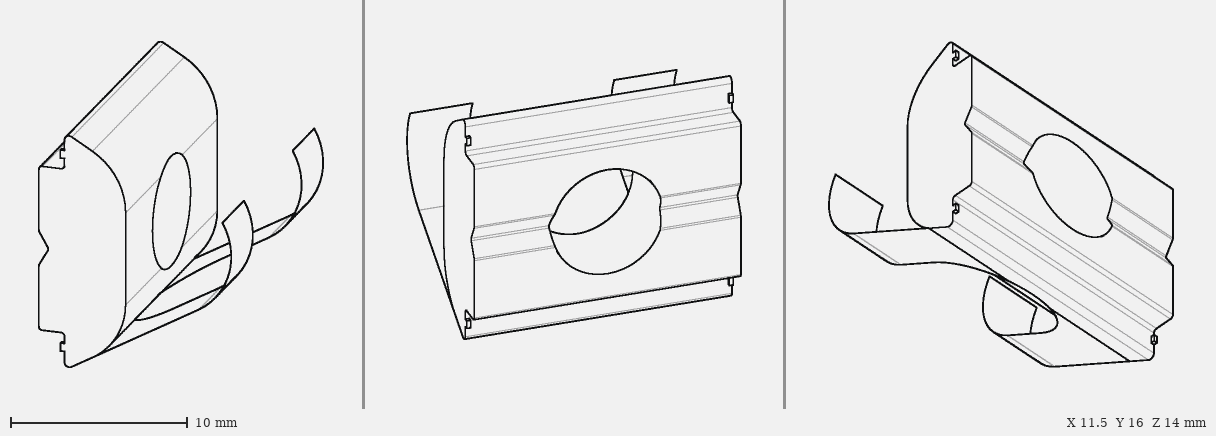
import cadquery as cq
import math

LENGTH = 16.0
HALF_HEIGHT = 14.0 / 2
BODY_DEPTH = 5.2
HOLE_DIAMETER = 6.64

LIP_X = 1.54
SHOULDER_Z = 4.96
STEP_RADIUS = 0.2
LIP_RADIUS = 0.29
BACK_RADIUS = 4.0
SLOPE = math.radians(30)

GROOVE_HALF_HEIGHT = 1.02
GROOVE_DEPTH = GROOVE_HALF_HEIGHT * math.tan(SLOPE)
GROOVE_MOUTH_RADIUS = 0.22
GROOVE_ROOT_RADIUS = 0.16

NUB_HEIGHT = 0.48
NUB_PROJECTION = 0.24
NUB_LENGTH = 0.24
NUB_Z = 5.84

SPRING_REACH = 11.54
SPRING_THICKNESS = 0.02
CURL_RADIUS = 4.0
CURL_ANGLE = math.radians(90)
PRONG_WIDTH = 3.76

FLANK_START_X = LIP_X + LIP_RADIUS * (1 + math.sin(SLOPE))
FLANK_START_Z = -HALF_HEIGHT + LIP_RADIUS * (1 - math.cos(SLOPE))
FLANK_END_X = BODY_DEPTH - BACK_RADIUS * (1 - math.sin(SLOPE))
FLANK_END_Z = FLANK_START_Z + (FLANK_END_X - FLANK_START_X) * math.tan(SLOPE)
BACK_CENTER_X = BODY_DEPTH - BACK_RADIUS
BACK_CENTER_Z = FLANK_END_Z + BACK_RADIUS * math.cos(SLOPE)


def polar(center, radius, angle):
    """Point on a circle in the XZ plane."""
    return (center[0] + radius * math.cos(angle), center[1] + radius * math.sin(angle))


def mirrored(point):
    """The same point on the other side of Z = 0."""
    return (point[0], -point[1])


def round_edges(body, x, z_values, radius):
    """Fillet the edges running along Y at the given X and Z positions."""
    for z in z_values:
        edge = cq.selectors.NearestToPointSelector((x, 0, z))
        body = body.edges("|Y").edges(edge).fillet(radius)
    return body


def make_body():
    flank_start = (FLANK_START_X, FLANK_START_Z)
    flank_end = (FLANK_END_X, FLANK_END_Z)
    lip_center = (LIP_X + LIP_RADIUS, -HALF_HEIGHT + LIP_RADIUS)
    lip_start = (LIP_X, lip_center[1])
    lip_middle = polar(lip_center, LIP_RADIUS, (-math.pi - math.pi / 2 + SLOPE) / 2)
    back_center = (BACK_CENTER_X, BACK_CENTER_Z)
    back_middle = polar(back_center, BACK_RADIUS, (SLOPE - math.pi / 2) / 2)
    back_end = (BODY_DEPTH, BACK_CENTER_Z)

    body = (
        cq.Workplane("XZ")
        .moveTo(GROOVE_DEPTH, 0)
        .lineTo(0, -GROOVE_HALF_HEIGHT)
        .lineTo(0, -SHOULDER_Z)
        .lineTo(LIP_X, -SHOULDER_Z)
        .lineTo(*lip_start)
        .threePointArc(lip_middle, flank_start)
        .lineTo(*flank_end)
        .threePointArc(back_middle, back_end)
        .lineTo(*mirrored(back_end))
        .threePointArc(mirrored(back_middle), mirrored(flank_end))
        .lineTo(*mirrored(flank_start))
        .threePointArc(mirrored(lip_middle), mirrored(lip_start))
        .lineTo(LIP_X, SHOULDER_Z)
        .lineTo(0, SHOULDER_Z)
        .lineTo(0, GROOVE_HALF_HEIGHT)
        .close()
        .extrude(LENGTH / 2, both=True)
    )
    for x in (0, LIP_X):
        body = round_edges(body, x, (-SHOULDER_Z, SHOULDER_Z), STEP_RADIUS)
    body = round_edges(body, 0, (-GROOVE_HALF_HEIGHT, GROOVE_HALF_HEIGHT), GROOVE_MOUTH_RADIUS)
    body = round_edges(body, GROOVE_DEPTH, (0,), GROOVE_ROOT_RADIUS)
    bore = cq.Workplane("YZ").circle(HOLE_DIAMETER / 2).extrude(BODY_DEPTH)
    return body.cut(bore)


def make_nubs():
    nub = cq.Workplane("XY").box(2 * NUB_PROJECTION, NUB_LENGTH, NUB_HEIGHT)
    end_y = (LENGTH - NUB_LENGTH) / 2
    nubs = cq.Workplane("XY")
    for y in (-end_y, end_y):
        for z in (-NUB_Z, NUB_Z):
            nubs = nubs.add(nub.translate((LIP_X, y, z)))
    return nubs.combine()


def make_spring():
    curl_start_x = SPRING_REACH - CURL_RADIUS * (1 - math.sin(SLOPE))
    curl_start_z = FLANK_START_Z + (curl_start_x - FLANK_START_X) * math.tan(SLOPE)
    curl_center = (SPRING_REACH - CURL_RADIUS, curl_start_z + CURL_RADIUS * math.cos(SLOPE))
    start_angle = SLOPE - math.pi / 2
    middle_angle = start_angle + CURL_ANGLE / 2
    end_angle = start_angle + CURL_ANGLE
    inner_radius = CURL_RADIUS - SPRING_THICKNESS
    inner_start = polar((FLANK_START_X, FLANK_START_Z), SPRING_THICKNESS, SLOPE + math.pi / 2)

    sheet = (
        cq.Workplane("XZ")
        .moveTo(FLANK_START_X, FLANK_START_Z)
        .lineTo(curl_start_x, curl_start_z)
        .threePointArc(
            polar(curl_center, CURL_RADIUS, middle_angle),
            polar(curl_center, CURL_RADIUS, end_angle),
        )
        .lineTo(*polar(curl_center, inner_radius, end_angle))
        .threePointArc(
            polar(curl_center, inner_radius, middle_angle),
            polar(curl_center, inner_radius, start_angle),
        )
        .lineTo(*inner_start)
        .close()
        .extrude(LENGTH / 2, both=True)
    )

    opening_radius = LENGTH / 2 - PRONG_WIDTH
    opening_length = 2 * SPRING_REACH
    strip_plane = cq.Plane(
        origin=(FLANK_END_X, 0, FLANK_END_Z),
        xDir=(math.cos(SLOPE), 0, math.sin(SLOPE)),
        normal=(-math.sin(SLOPE), 0, math.cos(SLOPE)),
    )
    opening = (
        cq.Workplane(strip_plane)
        .moveTo(opening_radius, -opening_radius)
        .lineTo(opening_length, -opening_radius)
        .lineTo(opening_length, opening_radius)
        .lineTo(opening_radius, opening_radius)
        .threePointArc((0, 0), (opening_radius, -opening_radius))
        .close()
        .extrude(SPRING_REACH, both=True)
    )
    return sheet.cut(opening)


result = make_body().union(make_nubs()).union(make_spring())